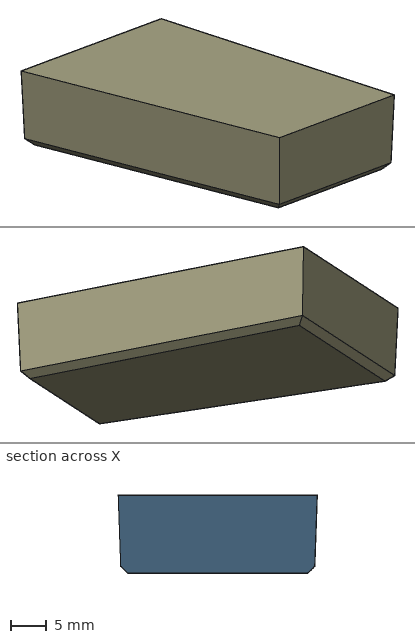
import cadquery as cq

length = 47.25
left_depth = 30.8
right_depth = 25.25
height = 11.0
draft_angle = 2.0
chamfer_size = 1.0

front_y = -left_depth / 2
left_x = -length / 2
right_x = length / 2

outline = [
    (left_x, front_y),
    (right_x, front_y),
    (right_x, front_y + right_depth),
    (left_x, front_y + left_depth),
]

block = cq.Workplane("XY").polyline(outline).close().extrude(-height, taper=draft_angle)

result = block.faces("<Z").edges().chamfer(chamfer_size)